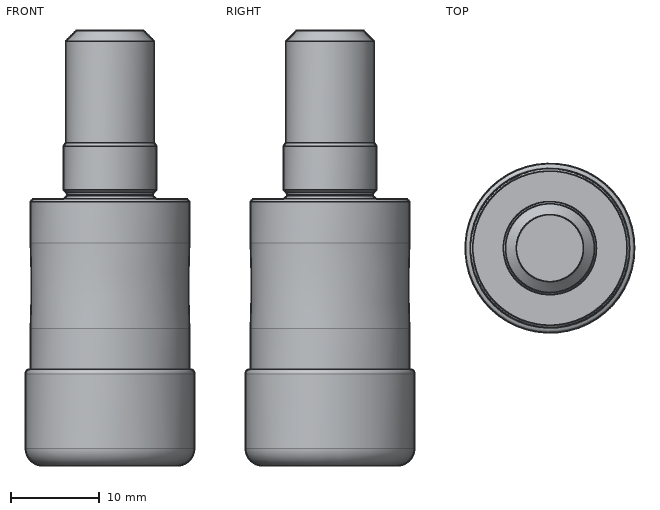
import cadquery as cq

TOTAL_HEIGHT = 49.0
HEAD_TOP = 10.9
WAIST_BOTTOM = 15.5
WAIST_TOP = 25.1
SLEEVE_TOP = 30.05
COLLAR_BOTTOM = 31.05
COLLAR_TOP = 36.35

HEAD_RADIUS = 9.53
SLEEVE_RADIUS = 8.95
WAIST_DEPTH = 0.1
COLLAR_RADIUS = 5.25
SHANK_RADIUS = 5.0

HEAD_BOTTOM_FILLET = 2.0
HEAD_TOP_FILLET = 0.5
SLEEVE_CHAMFER = 0.3
COLLAR_TOP_CHAMFER_HEIGHT = 0.4
SHANK_CHAMFER = 1.22

GROOVE_RADIUS = 4.85
GROOVE_FLOOR_BOTTOM = 30.4
GROOVE_FLOOR_TOP = 30.55
GROOVE_LIP_CHAMFER = 0.3


def revolve_about_z(profile):
    """Turn a closed half profile, drawn in the XZ plane, into a solid around the Z axis."""
    return profile.revolve(360, (0, 0, 0), (0, 1, 0))


def make_pin():
    """Headed pin: filleted head, bearing length inside the sleeve, groove, collar and chamfered shank."""
    head = (
        cq.Workplane("XY")
        .circle(HEAD_RADIUS)
        .extrude(HEAD_TOP)
        .faces("<Z").edges().fillet(HEAD_BOTTOM_FILLET)
        .faces(">Z").edges().fillet(HEAD_TOP_FILLET)
    )
    stem = revolve_about_z(
        cq.Workplane("XZ")
        .moveTo(0, HEAD_TOP)
        .lineTo(COLLAR_RADIUS, HEAD_TOP)
        .lineTo(COLLAR_RADIUS, SLEEVE_TOP)
        .lineTo(GROOVE_RADIUS, GROOVE_FLOOR_BOTTOM)
        .lineTo(GROOVE_RADIUS, GROOVE_FLOOR_TOP)
        .lineTo(COLLAR_RADIUS - GROOVE_LIP_CHAMFER, COLLAR_BOTTOM - GROOVE_LIP_CHAMFER)
        .lineTo(COLLAR_RADIUS, COLLAR_BOTTOM)
        .lineTo(COLLAR_RADIUS, COLLAR_TOP - COLLAR_TOP_CHAMFER_HEIGHT)
        .lineTo(SHANK_RADIUS, COLLAR_TOP)
        .lineTo(SHANK_RADIUS, TOTAL_HEIGHT - SHANK_CHAMFER)
        .lineTo(SHANK_RADIUS - SHANK_CHAMFER, TOTAL_HEIGHT)
        .lineTo(0, TOTAL_HEIGHT)
        .close()
    )
    return head.union(stem)


def make_sleeve():
    """Sleeve around the pin, resting on its head: shallow concave waist and a chamfered top rim."""
    waist_middle = (WAIST_BOTTOM + WAIST_TOP) / 2
    return revolve_about_z(
        cq.Workplane("XZ")
        .moveTo(COLLAR_RADIUS, HEAD_TOP)
        .lineTo(SLEEVE_RADIUS, HEAD_TOP)
        .lineTo(SLEEVE_RADIUS, WAIST_BOTTOM)
        .threePointArc((SLEEVE_RADIUS - WAIST_DEPTH, waist_middle), (SLEEVE_RADIUS, WAIST_TOP))
        .lineTo(SLEEVE_RADIUS, SLEEVE_TOP - SLEEVE_CHAMFER)
        .lineTo(SLEEVE_RADIUS - SLEEVE_CHAMFER, SLEEVE_TOP)
        .lineTo(COLLAR_RADIUS, SLEEVE_TOP)
        .close()
    )


pin = make_pin()
sleeve = make_sleeve()
result = cq.Compound.makeCompound([pin.solids().val(), sleeve.val()])